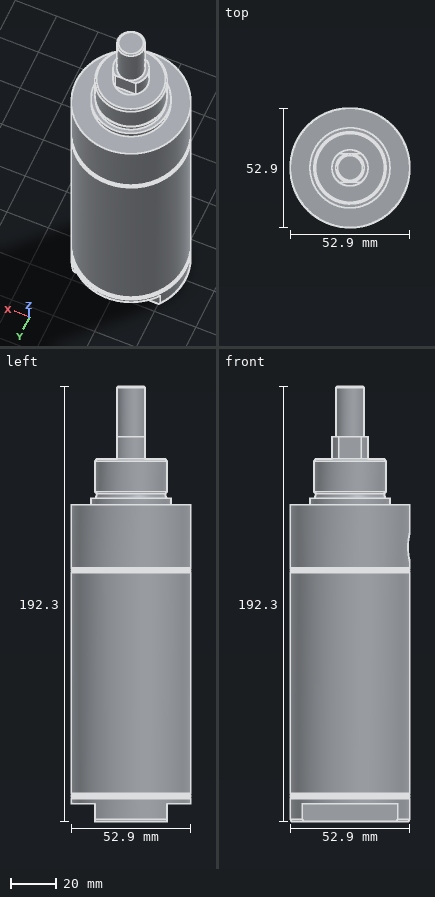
import cadquery as cq

TOTAL_HEIGHT = 192.3
BODY_RADIUS = 52.9 / 2

HEAD_TOP = 140.0
FLANGE_TOP = 142.9
NOSE_BOTTOM = 145.7
NOSE_TOP = 160.2
COLLAR_TOP = 170.0

NOSE_RADIUS = 32.0 / 2
NOSE_CHAMFER = 1.2
NOSE_CHAMFER_RADIAL = 0.8
FLANGE_RADIUS = 35.4 / 2
NECK_RADIUS = 30.4 / 2
RELIEF_SLOPE_HEIGHT = 1.0
RELIEF_FLARE_HEIGHT = NOSE_BOTTOM - RELIEF_SLOPE_HEIGHT - FLANGE_TOP
RELIEF_FLARE_WIDTH = 0.5
RELIEF_FLARE_RADIUS = (RELIEF_FLARE_HEIGHT**2 + RELIEF_FLARE_WIDTH**2) / (2 * RELIEF_FLARE_WIDTH)

RIDGE_HEIGHTS = [11.3, 111.0]
GROOVE_WIDTH = 1.2
GROOVE_DEPTH = 0.4

TANG_HEIGHT = 7.9
TANG_WIDTH = NOSE_RADIUS * 2
BOTTOM_CHAMFER = 1.2
BOTTOM_CHAMFER_RADIAL = 0.5

PORT_HEIGHT = 121.1
PORT_RADIUS = 12.7 / 2
PORT_DEPTH = 9.6

ROD_RADIUS = 12.5 / 2
ROD_CHAMFER = 0.8
COLLAR_RADIUS = 16.0 / 2
FLAT_SPACING = ROD_RADIUS * 2
SOCKET_BOTTOM = HEAD_TOP


def revolve_profile(profile):
    """Turn a closed (radius, height) profile around the Z axis."""
    return profile.close().revolve(360, (0, 0, 0), (0, 1, 0))


def side_flats(bottom, top, spacing):
    """Two blocks that leave parallel flats facing -Y and +Y."""
    size = BODY_RADIUS * 2
    height = top - bottom
    offset = (spacing + size) / 2
    return (
        cq.Workplane("XY", origin=(0, 0, bottom))
        .pushPoints([(0, -offset), (0, offset)])
        .box(size, size, height, centered=(True, True, False))
    )


def v_groove(height):
    """Triangular ring that cuts a V groove centred on the given height."""
    profile = (
        cq.Workplane("XZ")
        .moveTo(BODY_RADIUS, height - GROOVE_WIDTH / 2)
        .lineTo(BODY_RADIUS - GROOVE_DEPTH, height)
        .lineTo(BODY_RADIUS, height + GROOVE_WIDTH / 2)
    )
    return revolve_profile(profile)


def make_housing():
    profile = (
        cq.Workplane("XZ")
        .moveTo(0, 0)
        .lineTo(BODY_RADIUS - BOTTOM_CHAMFER_RADIAL, 0)
        .lineTo(BODY_RADIUS, BOTTOM_CHAMFER)
        .lineTo(BODY_RADIUS, HEAD_TOP)
        .lineTo(FLANGE_RADIUS, HEAD_TOP)
        .lineTo(FLANGE_RADIUS, FLANGE_TOP)
        .lineTo(NECK_RADIUS + RELIEF_FLARE_WIDTH, FLANGE_TOP)
        .radiusArc((NECK_RADIUS, FLANGE_TOP + RELIEF_FLARE_HEIGHT), RELIEF_FLARE_RADIUS)
        .lineTo(NOSE_RADIUS, NOSE_BOTTOM)
        .lineTo(NOSE_RADIUS, NOSE_TOP - NOSE_CHAMFER)
        .lineTo(NOSE_RADIUS - NOSE_CHAMFER_RADIAL, NOSE_TOP)
        .lineTo(0, NOSE_TOP)
    )
    body = revolve_profile(profile)

    for height in RIDGE_HEIGHTS:
        body = body.cut(v_groove(height - GROOVE_WIDTH / 2))
        body = body.cut(v_groove(height + GROOVE_WIDTH / 2))

    body = body.cut(side_flats(0, TANG_HEIGHT, TANG_WIDTH))

    port = (
        cq.Workplane("YZ", origin=(BODY_RADIUS - PORT_DEPTH, 0, PORT_HEIGHT))
        .circle(PORT_RADIUS)
        .extrude(PORT_DEPTH)
    )
    body = body.cut(port)

    socket = (
        cq.Workplane("XY", origin=(0, 0, SOCKET_BOTTOM))
        .circle(COLLAR_RADIUS)
        .extrude(NOSE_TOP - SOCKET_BOTTOM)
    )
    return body.cut(socket)


def make_rod():
    collar = (
        cq.Workplane("XY", origin=(0, 0, SOCKET_BOTTOM))
        .circle(COLLAR_RADIUS)
        .extrude(COLLAR_TOP - SOCKET_BOTTOM)
        .cut(side_flats(NOSE_TOP, COLLAR_TOP, FLAT_SPACING))
    )
    tip = (
        cq.Workplane("XY", origin=(0, 0, COLLAR_TOP))
        .circle(ROD_RADIUS)
        .extrude(TOTAL_HEIGHT - COLLAR_TOP)
        .faces(">Z")
        .chamfer(ROD_CHAMFER)
    )
    return collar.union(tip)


housing = make_housing()
rod = make_rod()
result = cq.Compound.makeCompound([housing.val(), rod.val()])